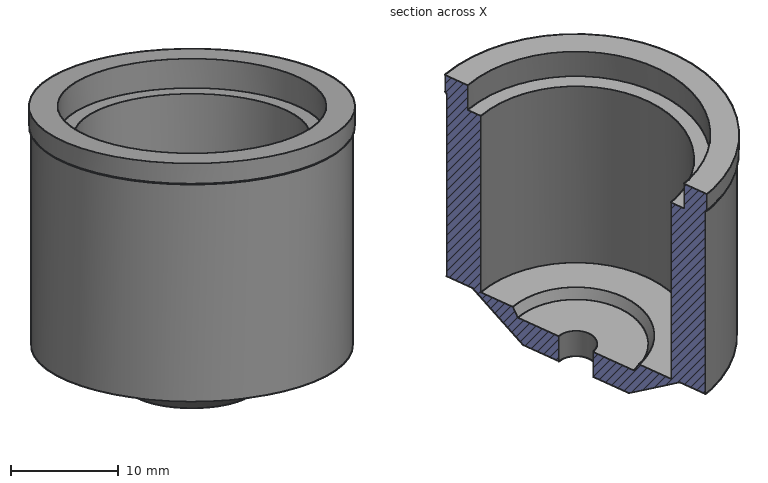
import cadquery as cq
import math

height = 27.7
rim_diameter = 30.3
rim_height = 2.0
body_diameter = 29.95
nose_height = 4.0
nose_top_diameter = 23.97
nose_tip_diameter = 12.25

seat_diameter = 24.97
seat_depth = 2.9
bore_diameter = 21.95
recess_diameter = 14.55
recess_depth = 1.0
recess_wall_angle = 30.0
outlet_diameter = 3.95

rim_bottom = height - rim_height
rim_chamfer = (rim_diameter - body_diameter) / 2
seat_level = height - seat_depth
bore_floor = nose_height
recess_floor = bore_floor - recess_depth
recess_narrowing = 2 * recess_depth * math.tan(math.radians(recess_wall_angle))
recess_floor_diameter = recess_diameter - recess_narrowing

outside = [
    (nose_tip_diameter, 0),
    (nose_top_diameter, nose_height),
    (body_diameter, nose_height),
    (body_diameter, rim_bottom - rim_chamfer),
    (rim_diameter, rim_bottom),
    (rim_diameter, height),
]
inside = [
    (seat_diameter, height),
    (seat_diameter, seat_level),
    (bore_diameter, seat_level),
    (bore_diameter, bore_floor),
    (recess_diameter, bore_floor),
    (recess_floor_diameter, recess_floor),
    (outlet_diameter, recess_floor),
    (outlet_diameter, 0),
]


def turned_part(section):
    """Revolve a half section around Z, starting from the -Y side."""
    points = [(-diameter / 2, level) for diameter, level in section]
    return cq.Workplane("YZ").polyline(points).close().revolve(360, (0, 0), (0, 1))


result = turned_part(outside + inside)